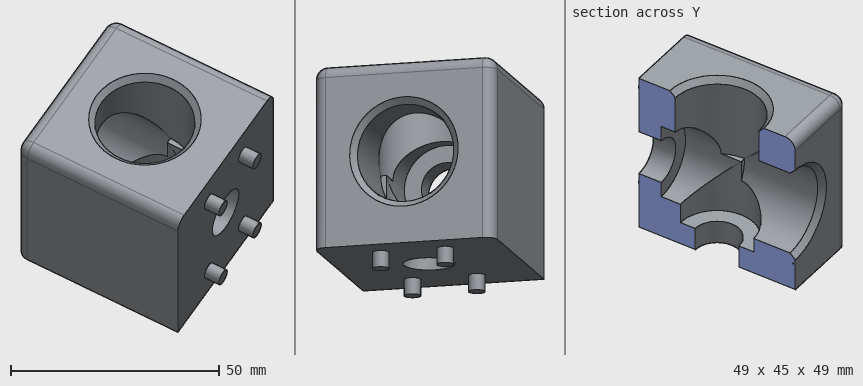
import cadquery as cq

total_length = 49.0
cube_size = 45.0
edge_radius = 3.0
mouth_diameter = 27.0
mouth_chamfer = 1.5
narrow_diameter = 21.0
floor_depth = 38.5
through_diameter = 12.5
pin_diameter = 4.0
pin_long_spacing = 28.6
pin_short_spacing = 16.0

half = cube_size / 2
pin_length = total_length - cube_size


def make_body():
    """Cube centred on the origin, rounded around its -X and +Z faces."""
    cube = cq.Workplane("XY").box(cube_size, cube_size, cube_size)
    return cube.edges("<X or >Z or |Z").edges("not(>X or <Z)").fillet(edge_radius)


def make_bore():
    """Bore cutter about Z from the top face, with a ledge level with the cube centre."""
    mouth_radius = mouth_diameter / 2
    bore_radius = mouth_radius - mouth_chamfer
    narrow_radius = narrow_diameter / 2
    through_radius = through_diameter / 2
    floor_z = half - floor_depth
    return (
        cq.Workplane("XZ")
        .moveTo(0, half)
        .lineTo(mouth_radius, half)
        .lineTo(bore_radius, half - mouth_chamfer)
        .lineTo(bore_radius, 0)
        .lineTo(narrow_radius, 0)
        .lineTo(narrow_radius, floor_z)
        .lineTo(through_radius, floor_z)
        .lineTo(through_radius, -half)
        .lineTo(0, -half)
        .close()
        .revolve(360, (0, 0, 0), (0, 1, 0))
    )


def make_pins():
    """Four locating pins under the bottom face."""
    return (
        cq.Workplane("XY")
        .workplane(offset=-half)
        .rect(pin_long_spacing, pin_short_spacing, forConstruction=True)
        .vertices()
        .circle(pin_diameter / 2)
        .extrude(-pin_length)
    )


def turn_to_x(shape):
    """Turn a feature about Y so that its top faces -X and its bottom faces +X."""
    return shape.rotate((0, 0, 0), (0, 1, 0), -90)


bore = make_bore()
pins = make_pins()
result = make_body().cut(bore).cut(turn_to_x(bore)).union(pins).union(turn_to_x(pins))